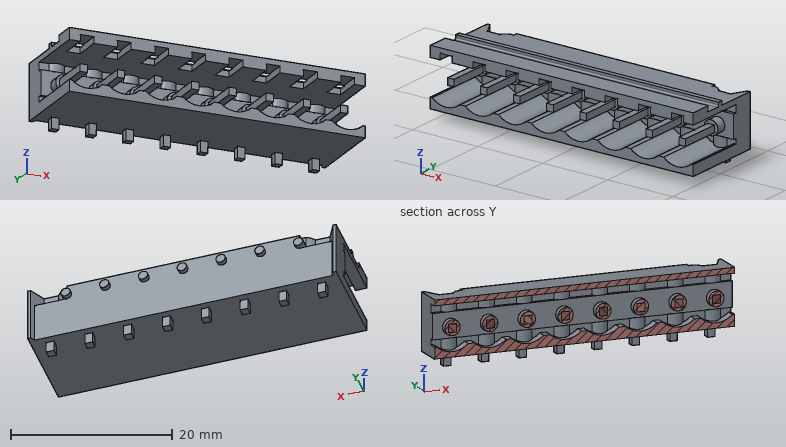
import cadquery as cq
import math

LENGTH = 40.45
DEPTH = 12.0
LIP_TOP = 8.45
PLATE_TOP = 7.65
LIP_DEPTH = 3.15
REAR_FACE = 11.4

PIN_COUNT = 8
FIRST_PIN_X = 2.43
PITCH = (LENGTH - 2 * FIRST_PIN_X) / (PIN_COUNT - 1)
PIN_XS = [FIRST_PIN_X + i * PITCH for i in range(PIN_COUNT)]

FLOOR_Z = 1.58
CEILING_Z = 6.85
WALL_Y = 8.55
UNDERCUT_Y = 9.0
UNDERCUT_LOW_Z = 2.3
UNDERCUT_HIGH_Z = 5.7

RIB_FRONT = 5.35
RIB_BACK = 6.05
RIB_TOP = 8.25
RIB_FILLET = 0.25

BULGE_WIDTH = 2.1
BULGE_HEIGHT = UNDERCUT_Y - WALL_Y
BULGE_RADIUS = ((BULGE_WIDTH / 2) ** 2 + BULGE_HEIGHT ** 2) / (2 * BULGE_HEIGHT)

SCOOP_WIDTH = 4.2
SCOOP_DEPTH = 0.8

SLOT_WIDTH = 1.85
SLOT_DEPTH = 4.12
SLOT_TOP = 7.72

COLLAR_RADIUS = 1.05
COLLAR_Z = 3.8
COLLAR_FRONT = 7.08

BOSS_RADIUS = 0.6
BOSS_Z = 6.2
BOSS_FRONT = 10.8

TAB_TIP = 0.4
POCKET_FRONT = 9.95
POCKET_START = 1.5
POCKET_END = 3.4
POCKET_CURVE_MID = (3.72, 10.4)
POCKET_CURVE_END = 4.33
POCKET_FLOOR_REAR = BOSS_Z - BOSS_RADIUS
POCKET_FLOOR_DRAFT = 1.0
POCKET_FLOOR_FRONT = POCKET_FLOOR_REAR + (DEPTH - POCKET_FRONT) * math.tan(math.radians(POCKET_FLOOR_DRAFT))

PIN_SIZE = 1.0
PIN_Z = 3.75
PIN_TIP_Y = 1.0
PIN_BACK_Y = 10.47
TAIL_LENGTH = 1.5


def box(x0, x1, y0, y1, z0, z1):
    """Block between two opposite corners."""
    return cq.Workplane("XY").box(x1 - x0, y1 - y0, z1 - z0, centered=False).translate((x0, y0, z0))


def y_cylinder(x, z, radius, y0, y1):
    """Round bar along Y."""
    return cq.Workplane("XZ", origin=(x, y0, z)).circle(radius).extrude(y0 - y1)


def make_shell():
    """Side profile of the housing, swept along the row."""
    return (
        cq.Workplane("YZ")
        .moveTo(0, 0)
        .lineTo(DEPTH, 0)
        .lineTo(DEPTH, PLATE_TOP)
        .lineTo(RIB_BACK, PLATE_TOP)
        .lineTo(RIB_BACK, RIB_TOP)
        .lineTo(RIB_FRONT, RIB_TOP)
        .lineTo(RIB_FRONT, PLATE_TOP + RIB_FILLET)
        .radiusArc((RIB_FRONT - RIB_FILLET, PLATE_TOP), RIB_FILLET)
        .lineTo(LIP_DEPTH, PLATE_TOP)
        .lineTo(LIP_DEPTH, LIP_TOP)
        .lineTo(0, LIP_TOP)
        .lineTo(0, CEILING_Z)
        .lineTo(UNDERCUT_Y, CEILING_Z)
        .lineTo(UNDERCUT_Y, UNDERCUT_HIGH_Z)
        .lineTo(WALL_Y, UNDERCUT_HIGH_Z)
        .lineTo(WALL_Y, UNDERCUT_LOW_Z)
        .lineTo(UNDERCUT_Y, UNDERCUT_LOW_Z)
        .lineTo(UNDERCUT_Y, FLOOR_Z)
        .lineTo(0, FLOOR_Z)
        .close()
        .extrude(LENGTH)
    )


def make_scoop(x):
    """Cutter for one floor groove with an arc-shaped bottom."""
    half = SCOOP_WIDTH / 2
    return (
        cq.Workplane("XZ")
        .moveTo(x - half, FLOOR_Z)
        .threePointArc((x, FLOOR_Z - SCOOP_DEPTH), (x + half, FLOOR_Z))
        .close()
        .extrude(-UNDERCUT_Y)
    )


def make_bulge(x):
    """Upright cylinder segment that reaches the channel wall."""
    return (
        cq.Workplane("XY", origin=(x, WALL_Y + BULGE_RADIUS, FLOOR_Z - SCOOP_DEPTH))
        .circle(BULGE_RADIUS)
        .extrude(CEILING_Z - FLOOR_Z + SCOOP_DEPTH)
    )


def make_slot(x):
    """Cutter for one coding slot in the lip."""
    half = SLOT_WIDTH / 2
    return box(x - half, x + half, 0, SLOT_DEPTH, CEILING_Z, SLOT_TOP)


def make_rear_cut():
    """Cutter that sets the rear face back between the two sloped corner tabs."""
    slope = (POCKET_START - TAB_TIP) / (DEPTH - POCKET_FRONT)
    foot = TAB_TIP + slope * (DEPTH - REAR_FACE)
    outline = [
        (TAB_TIP, DEPTH),
        (foot, REAR_FACE),
        (LENGTH - foot, REAR_FACE),
        (LENGTH - TAB_TIP, DEPTH),
    ]
    return cq.Workplane("XY").polyline(outline).close().extrude(PLATE_TOP)


def make_pocket():
    """Cutter for the left corner pocket, reaching to the middle of the first boss."""
    inner_x = FIRST_PIN_X + PITCH / 2
    outline = (
        cq.Workplane("XY")
        .moveTo(TAB_TIP, DEPTH)
        .lineTo(POCKET_START, POCKET_FRONT)
        .lineTo(POCKET_END, POCKET_FRONT)
        .threePointArc(POCKET_CURVE_MID, (POCKET_CURVE_END, BOSS_FRONT))
        .lineTo(inner_x, BOSS_FRONT)
        .lineTo(inner_x, DEPTH)
        .close()
        .extrude(PLATE_TOP)
    )
    side_profile = [
        (POCKET_FRONT, POCKET_FLOOR_FRONT),
        (DEPTH, POCKET_FLOOR_REAR),
        (DEPTH, PLATE_TOP),
        (POCKET_FRONT, PLATE_TOP),
    ]
    return outline.intersect(cq.Workplane("YZ").polyline(side_profile).close().extrude(inner_x))


def make_pin(x):
    """L-shaped square pin: contact toward the front, solder tail downward."""
    left = x - PIN_SIZE / 2
    right = x + PIN_SIZE / 2
    top = PIN_Z + PIN_SIZE / 2
    contact = box(left, right, PIN_TIP_Y, PIN_BACK_Y, top - PIN_SIZE, top)
    tail = box(left, right, PIN_BACK_Y - PIN_SIZE, PIN_BACK_Y, -TAIL_LENGTH, top)
    return contact.union(tail)


def make_housing():
    """Housing with all its repeated features and the passages for the pins."""
    body = make_shell()
    for x in PIN_XS:
        body = body.cut(make_scoop(x)).cut(make_slot(x))
        body = body.union(make_bulge(x))
        body = body.union(y_cylinder(x, COLLAR_Z, COLLAR_RADIUS, COLLAR_FRONT, UNDERCUT_Y))
    pocket = make_pocket()
    mirrored_pocket = pocket.mirror("YZ").translate((LENGTH, 0, 0))
    body = body.cut(make_rear_cut()).cut(pocket).cut(mirrored_pocket)
    for x in PIN_XS[:-1]:
        body = body.union(y_cylinder(x + PITCH / 2, BOSS_Z, BOSS_RADIUS, BOSS_FRONT, DEPTH))
    for x in PIN_XS:
        body = body.cut(make_pin(x))
    return body


housing = make_housing()
pins = [make_pin(x).val() for x in PIN_XS]

result = cq.Compound.makeCompound([housing.val(), *pins])